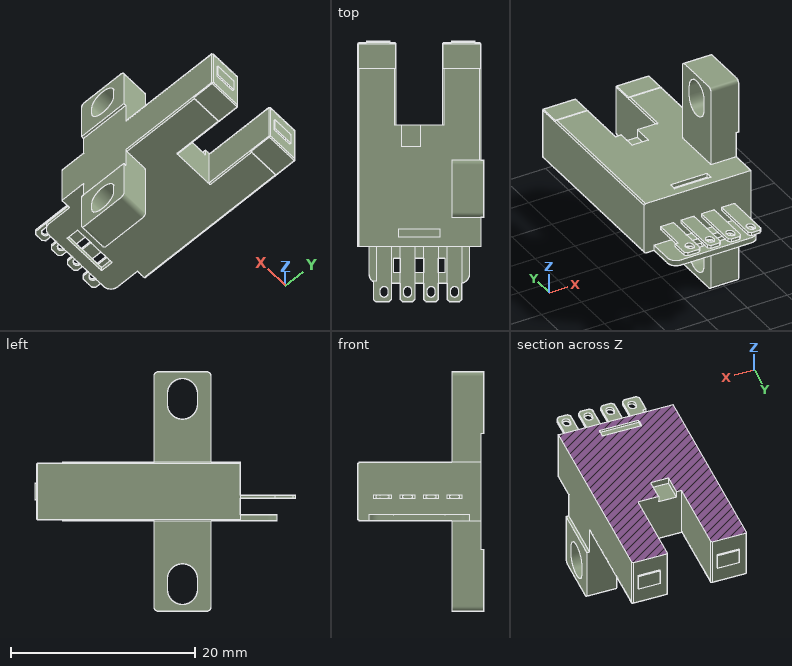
import cadquery as cq


BODY_WIDTH = 13.4
BODY_HEIGHT = 6.4
BODY_LENGTH = 22.13
GAP_WIDTH = 5.0
GAP_FLOOR_Y = 13.22
EDGE_CHAMFER = 0.17

CAP_START_Y = 19.3
CAP_STEP = 0.08
CAP_END_CHAMFER = 0.15
LENS_WIDTH = 2.55
LENS_HEIGHT = 1.85
LENS_THICKNESS = 0.17
LENS_OFFSET = 0.15

FRONT_POCKET_WIDTH = 2.05
FRONT_POCKET_LENGTH = 2.38
FRONT_POCKET_DEPTH = 1.0
FRONT_POCKET_X = -0.9
REAR_POCKET_WIDTH = 4.53
REAR_POCKET_LENGTH = 0.85
REAR_POCKET_DEPTH = 0.5
REAR_POCKET_Y = 1.47

BAR_THICKNESS = 3.48
BAR_WIDTH = 6.23
BAR_HEIGHT = 26.0
BAR_Y = 6.28
BAR_OVERHANG = 0.3
BAR_RELIEF_HEIGHT = 12.57
BAR_FILLET = 0.5
BAR_HOLE_WIDTH = 3.23
BAR_HOLE_LENGTH = 4.4
BAR_HOLE_Z = 10.05

TAB_WIDTH = 10.92
TAB_LENGTH = 4.0
TAB_THICKNESS = 0.68
TAB_RADIUS = 1.05
WINDOW_WIDTH = 5.55
WINDOW_LENGTH = 1.53
WINDOW_Y = -2.05

PIN_COUNT = 4
PIN_PITCH = 2.55
PIN_WIDTH = 1.6
PIN_LENGTH = 6.0
PIN_THICKNESS = 0.37
PIN_Z = -0.57
PIN_TIP_CHAMFER = 0.28
PIN_HOLE_WIDTH = 0.85
PIN_HOLE_LENGTH = 1.13
PIN_HOLE_Y = -4.9
SHOULDER_Y = -3.74
SHOULDER_WIDTH = 0.37

HALF_WIDTH = BODY_WIDTH / 2
HALF_HEIGHT = BODY_HEIGHT / 2
HALF_GAP = GAP_WIDTH / 2
ARM_X = (HALF_WIDTH + HALF_GAP) / 2


def block(x_min, x_max, y_min, y_max, z_min, z_max):
    """Axis-aligned box given by its limits."""
    size = (x_max - x_min, y_max - y_min, z_max - z_min)
    return cq.Workplane("XY").box(*size, centered=False).translate((x_min, y_min, z_min))


def edge_chamfer(x, inward, y_start):
    """Prisms that bevel the top and bottom edges of the side wall at x, from y_start to the front."""
    cutters = cq.Workplane("XY")
    for side in (1, -1):
        z = side * HALF_HEIGHT
        prism = (
            cq.Workplane("XZ", origin=(0, y_start, 0))
            .moveTo(x, z)
            .lineTo(x + inward * EDGE_CHAMFER, z)
            .lineTo(x, z - side * EDGE_CHAMFER)
            .close()
            .extrude(y_start - BODY_LENGTH)
        )
        cutters = cutters.add(prism)
    return cutters.combine()


def make_body():
    body = block(-HALF_WIDTH, HALF_WIDTH, 0, BODY_LENGTH, -HALF_HEIGHT, HALF_HEIGHT)
    body = body.cut(block(-HALF_GAP, HALF_GAP, GAP_FLOOR_Y, BODY_LENGTH, -HALF_HEIGHT, HALF_HEIGHT))

    body = body.cut(edge_chamfer(-HALF_WIDTH, 1, 0))
    body = body.cut(edge_chamfer(HALF_WIDTH, -1, BAR_Y + BAR_WIDTH / 2))
    body = body.cut(edge_chamfer(-HALF_GAP, -1, GAP_FLOOR_Y))
    body = body.cut(edge_chamfer(HALF_GAP, 1, GAP_FLOOR_Y))

    cap_z = HALF_HEIGHT - CAP_STEP
    body = body.cut(block(-HALF_WIDTH, HALF_WIDTH, CAP_START_Y, BODY_LENGTH, cap_z, HALF_HEIGHT))
    body = body.cut(block(-HALF_WIDTH, HALF_WIDTH, CAP_START_Y, BODY_LENGTH, -HALF_HEIGHT, -cap_z))
    body = body.faces(">Y").edges().chamfer(CAP_END_CHAMFER)

    for arm_x in (-ARM_X, ARM_X):
        x_min = arm_x + LENS_OFFSET - LENS_WIDTH / 2
        lens = block(
            x_min, x_min + LENS_WIDTH,
            BODY_LENGTH, BODY_LENGTH + LENS_THICKNESS,
            -LENS_HEIGHT / 2, LENS_HEIGHT / 2,
        )
        body = body.union(lens)
    return body


def make_top_pockets():
    front = block(
        FRONT_POCKET_X - FRONT_POCKET_WIDTH / 2, FRONT_POCKET_X + FRONT_POCKET_WIDTH / 2,
        GAP_FLOOR_Y - FRONT_POCKET_LENGTH, GAP_FLOOR_Y,
        HALF_HEIGHT - FRONT_POCKET_DEPTH, HALF_HEIGHT,
    )
    rear = block(
        -REAR_POCKET_WIDTH / 2, REAR_POCKET_WIDTH / 2,
        REAR_POCKET_Y - REAR_POCKET_LENGTH / 2, REAR_POCKET_Y + REAR_POCKET_LENGTH / 2,
        HALF_HEIGHT - REAR_POCKET_DEPTH, HALF_HEIGHT,
    )
    return front.union(rear)


def make_mounting_bar():
    x_max = HALF_WIDTH + BAR_OVERHANG
    y_min = BAR_Y - BAR_WIDTH / 2
    y_max = BAR_Y + BAR_WIDTH / 2
    bar = block(x_max - BAR_THICKNESS, x_max, y_min, y_max, -BAR_HEIGHT / 2, BAR_HEIGHT / 2)
    bar = bar.edges("|X").fillet(BAR_FILLET)

    half_relief = BAR_RELIEF_HEIGHT / 2
    bar = bar.cut(block(HALF_WIDTH, x_max, y_min, y_max, -half_relief, half_relief))

    holes = (
        cq.Workplane("YZ")
        .pushPoints([(BAR_Y, -BAR_HOLE_Z), (BAR_Y, BAR_HOLE_Z)])
        .slot2D(BAR_HOLE_LENGTH, BAR_HOLE_WIDTH, 90)
        .extrude(x_max)
    )
    return bar.cut(holes)


def make_tab():
    z_min = -HALF_HEIGHT
    z_max = z_min + TAB_THICKNESS
    tab = block(-TAB_WIDTH / 2, TAB_WIDTH / 2, -TAB_LENGTH, 0, z_min, z_max)
    tab = tab.edges("|Z and <Y").fillet(TAB_RADIUS)
    window = block(
        -WINDOW_WIDTH / 2, WINDOW_WIDTH / 2,
        WINDOW_Y - WINDOW_LENGTH / 2, WINDOW_Y + WINDOW_LENGTH / 2,
        z_min, z_max,
    )
    return tab.cut(window)


def make_pin(x, shoulder):
    """Terminal centred at x; its tip section is widened toward -X by the shoulder."""
    z_min = PIN_Z - PIN_THICKNESS / 2
    z_max = PIN_Z + PIN_THICKNESS / 2
    x_min = x - PIN_WIDTH / 2
    x_max = x + PIN_WIDTH / 2
    shank = block(x_min, x_max, SHOULDER_Y, 0, z_min, z_max)
    tip = block(x_min - shoulder, x_max, -PIN_LENGTH, SHOULDER_Y, z_min, z_max)
    tip = tip.edges("|Z and <Y").chamfer(PIN_TIP_CHAMFER)
    hole = (
        cq.Workplane("XY", origin=(x, PIN_HOLE_Y, z_min))
        .slot2D(PIN_HOLE_LENGTH, PIN_HOLE_WIDTH, 90)
        .extrude(PIN_THICKNESS)
    )
    return shank.union(tip).cut(hole)


result = make_body().cut(make_top_pockets()).union(make_mounting_bar()).union(make_tab())

for index in range(PIN_COUNT):
    pin_x = (index - (PIN_COUNT - 1) / 2) * PIN_PITCH
    shoulder = SHOULDER_WIDTH if index == 0 else 0
    result = result.union(make_pin(pin_x, shoulder))